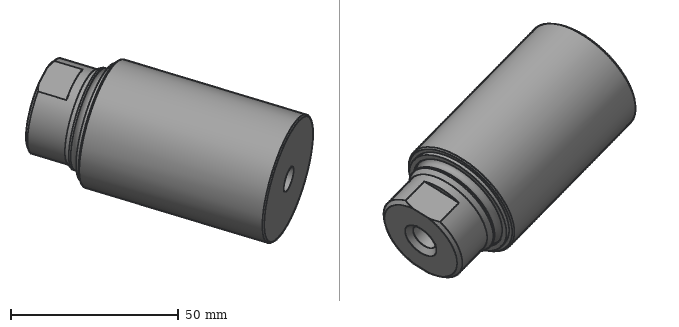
import cadquery as cq
import math

length = 79.2
body_diameter = 40.15
body_chamfer = 0.5
body_start = 19.3

collar_diameter = 36.8
collar_start = 18.05

stub_diameter = 29.9
stub_chamfer_length = 1.0
stub_chamfer_depth = 1.2
flat_length = 10.1
flat_spacing = 26.9

ring_diameter = 32.0
ring_start = 13.1
crest_start = 14.7
groove_centre = 17.2
groove_radius = 2.0
groove_diameter = 29.6

bore_diameter = 7.9
entry_diameter = 8.5
mouth_diameter = 11.9
entry_depth = body_start
countersink_depth = (mouth_diameter - entry_diameter) / 2


def make_turned_body():
    """Revolve the stepped outer profile about the X axis."""
    stub_radius = stub_diameter / 2
    ring_radius = ring_diameter / 2
    collar_radius = collar_diameter / 2
    body_radius = body_diameter / 2

    groove_floor = groove_diameter / 2
    undercut_radius = groove_floor + groove_radius
    crest_end = groove_centre - math.sqrt(groove_radius**2 - (undercut_radius - ring_radius) ** 2)

    outline = (
        cq.Workplane("XY")
        .lineTo(0, stub_radius - stub_chamfer_depth)
        .lineTo(stub_chamfer_length, stub_radius)
        .lineTo(ring_start, stub_radius)
        .lineTo(crest_start, ring_radius)
        .lineTo(crest_end, ring_radius)
        .radiusArc((groove_centre, groove_floor), -groove_radius)
        .radiusArc((groove_centre + groove_radius, undercut_radius), -groove_radius)
        .lineTo(collar_start, undercut_radius)
        .lineTo(collar_start, collar_radius)
        .lineTo(body_start, collar_radius)
        .lineTo(body_start, body_radius - body_chamfer)
        .lineTo(body_start + body_chamfer, body_radius)
        .lineTo(length - body_chamfer, body_radius)
        .lineTo(length, body_radius - body_chamfer)
        .lineTo(length, 0)
        .close()
    )
    return outline.revolve(360, (0, 0, 0), (1, 0, 0))


def make_flat_cutter(side):
    """Block that removes the stub beyond one wrench flat; side is +1 or -1 along Z."""
    height = body_diameter
    centre_z = side * (flat_spacing + height) / 2
    return cq.Workplane("XY").box(2 * flat_length, body_diameter, height).translate((0, 0, centre_z))


def make_bore():
    """Stepped through bore with a conical mouth at the stub end."""
    bore_radius = bore_diameter / 2
    entry_radius = entry_diameter / 2
    outline = [
        (0, 0),
        (0, mouth_diameter / 2),
        (countersink_depth, entry_radius),
        (entry_depth, entry_radius),
        (entry_depth, bore_radius),
        (length, bore_radius),
        (length, 0),
    ]
    return cq.Workplane("XY").polyline(outline).close().revolve(360, (0, 0, 0), (1, 0, 0))


result = make_turned_body()
for side in (1, -1):
    result = result.cut(make_flat_cutter(side))
result = result.cut(make_bore())